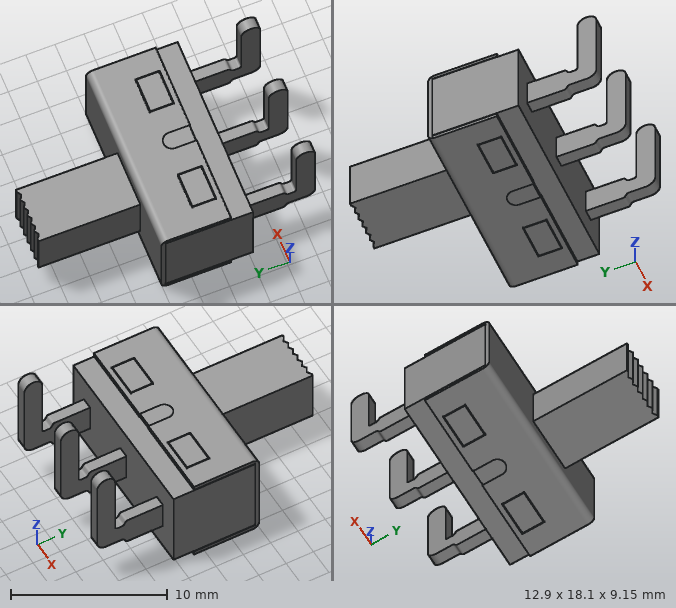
import cadquery as cq
import math


width = 12.95
housing_depth = 6.01
cover_height = 6.6
cover_thickness = 0.29
cover_length = 4.8
cover_bend_radius = 0.5
clearance = 0.05
cover_inner_height = cover_height - 2 * cover_thickness
housing_height = cover_inner_height - 2 * clearance
cover_face_y = housing_depth + cover_thickness
cover_end_y = cover_face_y - cover_length

window_width = 2.5
window_depth = 1.67
window_x = 3.62
window_y = 2.72
lug_width = window_width - 2 * clearance
lug_depth = window_depth - 2 * clearance

slot_width = 1.15
slot_length = 2.06
tongue_setback = 0.04
slot_radius = slot_width / 2
slot_centre_y = cover_end_y + slot_length - slot_radius

slider_size = 3.91
slider_length = 6.99
slider_x = -0.9
groove_count = 6
groove_pitch = 0.6
groove_depth = 0.2
slider_tip_y = cover_face_y + slider_length

pin_count = 3
pin_pitch = 4.7
pin_thickness = 0.8
pin_width = 1.32
pin_root_width = 2.05
pin_reach = 4.81
pin_rise = 2.55
shoulder_length = 2.68
shoulder_angle = 60.0
shoulder_fillet = 0.2
inner_bend_radius = 0.16
pin_half_width = pin_width / 2
pin_end_radius = 0.65
pin_root_half = pin_root_width / 2
shoulder_run = (pin_root_half - pin_half_width) / math.tan(math.radians(shoulder_angle))


def make_box(size_x, size_y, size_z, centre):
    return cq.Workplane("XY").box(size_x, size_y, size_z).translate(centre)


def make_housing():
    """Block with two lugs on its upper and two on its lower side, flush with the cover."""
    housing = make_box(width, housing_depth, housing_height, (0, housing_depth / 2, 0))
    for x in (-window_x, window_x):
        housing = housing.union(make_box(lug_width, lug_depth, cover_height, (x, window_y, 0)))
    return housing


def make_slot_profile(end_y):
    """Prism through the whole height, open at end_y and round at its inner end."""
    return (
        cq.Workplane("XY")
        .workplane(offset=-cover_height / 2)
        .moveTo(-slot_radius, end_y)
        .lineTo(-slot_radius, slot_centre_y)
        .threePointArc((0, slot_centre_y + slot_radius), (slot_radius, slot_centre_y))
        .lineTo(slot_radius, end_y)
        .close()
        .extrude(cover_height)
    )


def make_cover():
    """U-shaped sheet, open toward the pins and at both X ends."""
    cover = make_box(width, cover_length, cover_height, (0, cover_end_y + cover_length / 2, 0))
    cover = cover.edges("|X and >Y").fillet(cover_bend_radius)
    cover = cover.cut(make_box(width, housing_depth, cover_inner_height, (0, housing_depth / 2, 0)))
    for x in (-window_x, window_x):
        cover = cover.cut(make_box(window_width, window_depth, cover_height, (x, window_y, 0)))
    return cover.cut(make_slot_profile(cover_end_y))


def make_tongue(side):
    """Tongue in the upper (side 1) or lower (side -1) wall of the cover."""
    wall_middle_z = side * (cover_height - cover_thickness) / 2
    wall = make_box(width, cover_length, cover_thickness, (0, cover_end_y + cover_length / 2, wall_middle_z))
    return make_slot_profile(cover_end_y + tongue_setback).intersect(wall)


def make_slider():
    """Square bar standing on the cover face, with V grooves across its tip."""
    first_groove_x = slider_x - groove_count * groove_pitch / 2
    outline = (
        cq.Workplane("XY")
        .workplane(offset=-slider_size / 2)
        .moveTo(slider_x - slider_size / 2, cover_face_y)
        .lineTo(slider_x - slider_size / 2, slider_tip_y)
        .lineTo(first_groove_x, slider_tip_y)
    )
    for index in range(groove_count):
        start_x = first_groove_x + index * groove_pitch
        bottom = (start_x + groove_pitch / 2, slider_tip_y - groove_depth)
        outline = outline.lineTo(*bottom).lineTo(start_x + groove_pitch, slider_tip_y)
    return (
        outline
        .lineTo(slider_x + slider_size / 2, slider_tip_y)
        .lineTo(slider_x + slider_size / 2, cover_face_y)
        .close()
        .extrude(slider_size)
    )


def round_corners(pin, x, corners, radius):
    """Fillet the pin edges that run along X through the given (y, z) corners."""
    for y, z in corners:
        pin = pin.edges(cq.selectors.NearestToPointSelector((x, y, z))).fillet(radius)
    return pin


def make_pin(x):
    """L-shaped flat pin with a stepped root, a round heel and a round tip."""
    leg_inner_y = pin_width - pin_reach
    neck_y = -shoulder_length - shoulder_run
    tip_z = cover_height / 2 + pin_rise
    pin = (
        cq.Workplane("YZ")
        .workplane(offset=x - pin_thickness / 2)
        .moveTo(0, pin_root_half)
        .lineTo(-shoulder_length, pin_root_half)
        .lineTo(neck_y, pin_half_width)
        .lineTo(leg_inner_y, pin_half_width)
        .lineTo(leg_inner_y, tip_z)
        .lineTo(-pin_reach, tip_z)
        .lineTo(-pin_reach, -pin_half_width)
        .lineTo(neck_y, -pin_half_width)
        .lineTo(-shoulder_length, -pin_root_half)
        .lineTo(0, -pin_root_half)
        .close()
        .extrude(pin_thickness)
    )
    shoulder_bends = [
        (-shoulder_length, pin_root_half),
        (-shoulder_length, -pin_root_half),
        (neck_y, pin_half_width),
        (neck_y, -pin_half_width),
    ]
    round_ends = [(leg_inner_y, tip_z), (-pin_reach, tip_z), (-pin_reach, -pin_half_width)]
    pin = round_corners(pin, x, shoulder_bends, shoulder_fillet)
    pin = round_corners(pin, x, [(leg_inner_y, pin_half_width)], inner_bend_radius)
    return round_corners(pin, x, round_ends, pin_end_radius)


housing = make_housing()
cover = make_cover()
slider = make_slider()
tongues = [make_tongue(side) for side in (1, -1)]
pins = [make_pin((index - (pin_count - 1) / 2) * pin_pitch) for index in range(pin_count)]

bodies = [housing, cover, slider, *tongues, *pins]

result = cq.Compound.makeCompound([body.solids().val() for body in bodies])